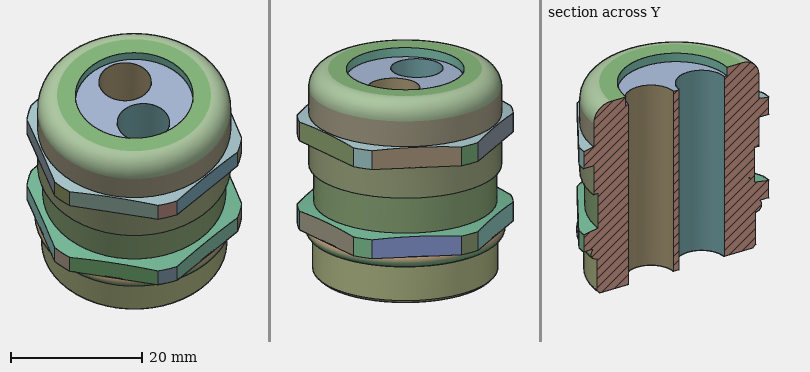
import cadquery as cq
import math

total_height = 33.0
ring_height = 7.2
body_hex_bottom = 8.0
body_hex_edge = 11.05
nut_bottom = 17.5
nut_hex_bottom = 22.55
nut_hex_edge = 25.6

thread_diameter = 28.3
thread_chamfer = 0.53
neck_diameter = 28.0
ring_outer_diameter = 30.5
ring_section_radius = 1.1

nut_diameter = 29.5
nut_fillet = 3.0

across_flats = 30.0
across_rounded_corners = 33.0
hex_top_slope = math.radians(10)

recess_diameter = 18.0
recess_depth = 1.5
cable_hole_diameter = 8.0
cable_hole_spacing = 9.0


def cylinder(diameter, bottom, top):
    return cq.Workplane("XY").workplane(offset=bottom).circle(diameter / 2).extrude(top - bottom)


def hex_collar(bottom, corner_edge, inner_diameter):
    """Hexagon trimmed to a round outline, its top sloping down from the inner diameter."""
    outer_radius = across_rounded_corners / 2
    inner_radius = inner_diameter / 2
    top = corner_edge + (outer_radius - inner_radius) * math.tan(hex_top_slope)
    across_corners = across_flats / math.cos(math.pi / 6)
    prism = cq.Workplane("XY").workplane(offset=bottom).polygon(6, across_corners).extrude(top - bottom)
    envelope = (
        cq.Workplane("XZ")
        .moveTo(0, bottom)
        .lineTo(outer_radius, bottom)
        .lineTo(outer_radius, corner_edge)
        .lineTo(inner_radius, top)
        .lineTo(0, top)
        .close()
        .revolve(360, (0, 0, 0), (0, 1, 0))
    )
    return prism.intersect(envelope)


def sealing_ring():
    section_center = ring_outer_diameter / 2 - ring_section_radius
    return (
        cq.Workplane("XZ")
        .center(section_center, ring_height)
        .circle(ring_section_radius)
        .revolve(360, (-section_center, 0, 0), (-section_center, 1, 0))
    )


thread = cylinder(thread_diameter, 0, body_hex_bottom).faces("<Z").chamfer(thread_chamfer)
neck = cylinder(neck_diameter, body_hex_bottom, nut_bottom)
nut = cylinder(nut_diameter, nut_bottom, total_height).faces(">Z").edges().fillet(nut_fillet)
body = (
    thread.union(sealing_ring())
    .union(neck)
    .union(hex_collar(body_hex_bottom, body_hex_edge, neck_diameter))
    .union(nut)
    .union(hex_collar(nut_hex_bottom, nut_hex_edge, nut_diameter))
)

recess = cylinder(recess_diameter, total_height - recess_depth, total_height)
cable_hole = cylinder(cable_hole_diameter, 0, total_height)
result = body.cut(recess)
for side in (-1, 1):
    result = result.cut(cable_hole.translate((side * cable_hole_spacing / 2, 0, 0)))